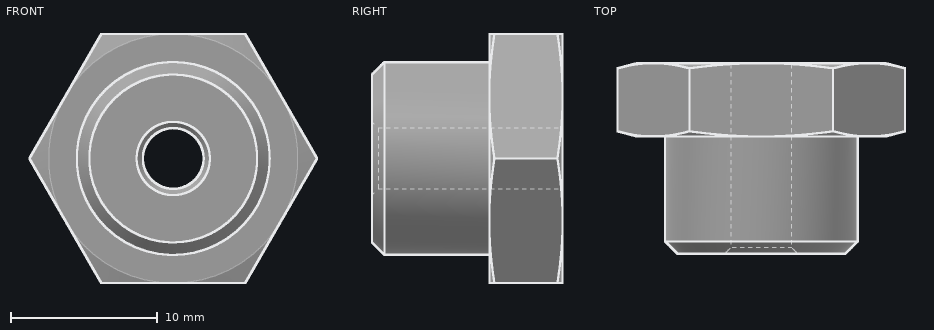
import cadquery as cq
import math

across_flats = 17.0
across_corners = across_flats / math.cos(math.radians(30))
head_thickness = 5.0
head_chamfer_angle = 15.0

shank_diameter = 13.16
shank_end_diameter = 11.45
shank_length = 8.0

bore_diameter = 4.13
bore_mouth_diameter = 5.0

shank_end_y = 0.0
head_front_y = shank_end_y + shank_length
head_back_y = head_front_y + head_thickness


def revolve_about_y(profile_points):
    """Revolve a closed (radius, y) profile around the Y axis."""
    return (
        cq.Workplane("XY")
        .polyline(profile_points)
        .close()
        .revolve(360, (0, 0, 0), (0, 1, 0))
    )


def make_head():
    """Hexagon with its corners on X, both faces trimmed by shallow cones."""
    hexagon = (
        cq.Workplane("XZ", origin=(0, head_back_y, 0))
        .polygon(6, across_corners)
        .extrude(head_thickness)
    )
    face_radius = across_flats / 2
    corner_radius = across_corners / 2
    corner_drop = (corner_radius - face_radius) * math.tan(math.radians(head_chamfer_angle))
    cone_envelope = revolve_about_y([
        (0, head_front_y),
        (face_radius, head_front_y),
        (corner_radius, head_front_y + corner_drop),
        (corner_radius, head_back_y - corner_drop),
        (face_radius, head_back_y),
        (0, head_back_y),
    ])
    return hexagon.intersect(cone_envelope)


def make_shank():
    """Cylinder with a 45 degree chamfer at its free end."""
    radius = shank_diameter / 2
    end_radius = shank_end_diameter / 2
    chamfer = radius - end_radius
    return revolve_about_y([
        (0, shank_end_y),
        (end_radius, shank_end_y),
        (radius, shank_end_y + chamfer),
        (radius, head_front_y),
        (0, head_front_y),
    ])


def make_bore():
    """Through hole with a 45 degree countersink at the shank end."""
    radius = bore_diameter / 2
    mouth_radius = bore_mouth_diameter / 2
    countersink_depth = mouth_radius - radius
    return revolve_about_y([
        (0, shank_end_y),
        (mouth_radius, shank_end_y),
        (radius, shank_end_y + countersink_depth),
        (radius, head_back_y),
        (0, head_back_y),
    ])


result = make_head().union(make_shank()).cut(make_bore())